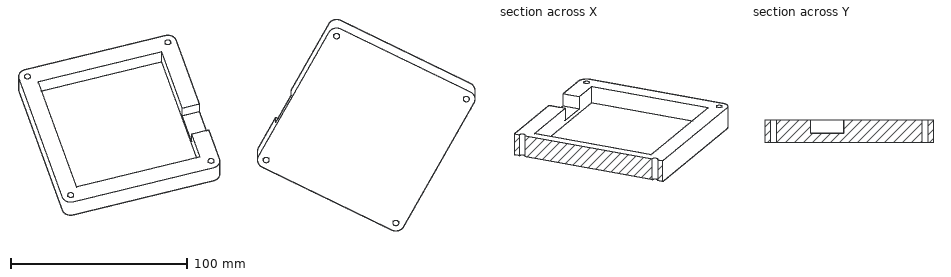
import cadquery as cq

length = 96.0
width = 93.2
height = 13.0
corner_radius = 5.0

pocket_length = 76.2
pocket_width = 73.2
floor_thickness = 3.0
left_wall = 10.3
front_wall = 9.8

notch_length = 18.7
notch_depth = 7.5
notch_start = 51.3

hole_diameter = 3.4

left = -length / 2
front = -width / 2
back = width / 2


def box_between(x_min, y_min, z_min, x_size, y_size, z_size):
    """Box placed by its lowest corner."""
    box = cq.Workplane("XY").box(x_size, y_size, z_size, centered=False)
    return box.translate((x_min, y_min, z_min))


block = (
    cq.Workplane("XY")
    .box(length, width, height, centered=(True, True, False))
    .edges("|Z")
    .fillet(corner_radius)
)

pocket = box_between(
    left + left_wall,
    front + front_wall,
    floor_thickness,
    pocket_length,
    pocket_width,
    height - floor_thickness,
)

pocket_back = front + front_wall + pocket_width
notch = box_between(
    left + notch_start,
    pocket_back,
    height - notch_depth,
    notch_length,
    back - pocket_back,
    notch_depth,
)

corner_holes = (
    cq.Workplane("XY")
    .rect(length - 2 * corner_radius, width - 2 * corner_radius, forConstruction=True)
    .vertices()
    .circle(hole_diameter / 2)
    .extrude(height)
)

result = block.cut(pocket).cut(notch).cut(corner_holes)